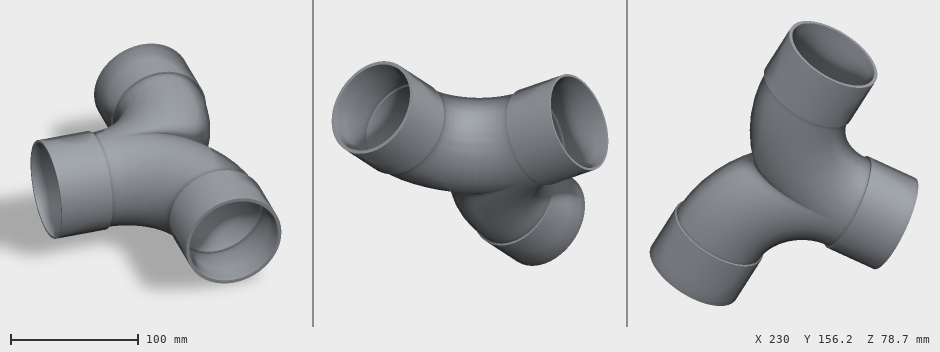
import cadquery as cq

overall_length = 230.0
overall_depth = 156.2

socket_diameter = 78.7
socket_length = 41.9
socket_bore = 75.0
lip_diameter = 73.1
lip_length = 1.0
seat_thickness = 0.2

pipe_diameter = 75.0
pipe_bore = 71.3

inlet_y = socket_diameter / 2 - overall_depth
bend_radius = -inlet_y - socket_length
side_end_x = overall_length / 2
side_bore_depth = socket_length - seat_thickness
shoulder_radius = (socket_bore - pipe_bore) / 2
inlet_bore_depth = socket_length - shoulder_radius


def bend(diameter, side):
    """Solid quarter bend from the inlet socket to the socket on one side (-1 or +1)."""
    bend_start = cq.Plane(origin=(0, -bend_radius, 0), xDir=(1, 0, 0), normal=(0, 1, 0))
    axis_x = side * bend_radius
    return (
        cq.Workplane(bend_start)
        .circle(diameter / 2)
        .revolve(90, (axis_x, 0), (axis_x, side))
    )


def inlet_rod(diameter, length):
    """Solid rod running inward from the mouth of the inlet socket."""
    mouth = cq.Plane(origin=(0, inlet_y, 0), xDir=(1, 0, 0), normal=(0, 1, 0))
    return cq.Workplane(mouth).circle(diameter / 2).extrude(length)


def side_rod(diameter, start, end, side):
    """Solid rod in one side socket, between two depths measured from its mouth."""
    start_plane = cq.Workplane("YZ", origin=(side * (side_end_x - start), 0, 0))
    return start_plane.circle(diameter / 2).extrude(-side * (end - start))


def shoulder_passage():
    """Bell-shaped opening whose rounded lip leads from the inlet bore into the pipe bore."""
    lip_y = inlet_y + inlet_bore_depth
    bore_r = socket_bore / 2
    pipe_r = pipe_bore / 2
    lip_mid = shoulder_radius * (1 - 0.5 ** 0.5)
    return (
        cq.Workplane("XY")
        .moveTo(0, lip_y)
        .lineTo(bore_r, lip_y)
        .threePointArc(
            (pipe_r + lip_mid, lip_y + lip_mid),
            (pipe_r, lip_y + shoulder_radius),
        )
        .lineTo(0, lip_y + shoulder_radius)
        .close()
        .revolve(360, (0, 0), (0, 1))
    )


outside = inlet_rod(socket_diameter, socket_length)
passage = inlet_rod(socket_bore, inlet_bore_depth).union(shoulder_passage())
for side in (-1, 1):
    outside = outside.union(bend(pipe_diameter, side))
    outside = outside.union(side_rod(socket_diameter, 0, socket_length, side))
    passage = passage.union(bend(pipe_bore, side))
    passage = passage.union(side_rod(lip_diameter, 0, lip_length, side))
    passage = passage.union(side_rod(socket_bore, lip_length, side_bore_depth, side))

result = outside.cut(passage)